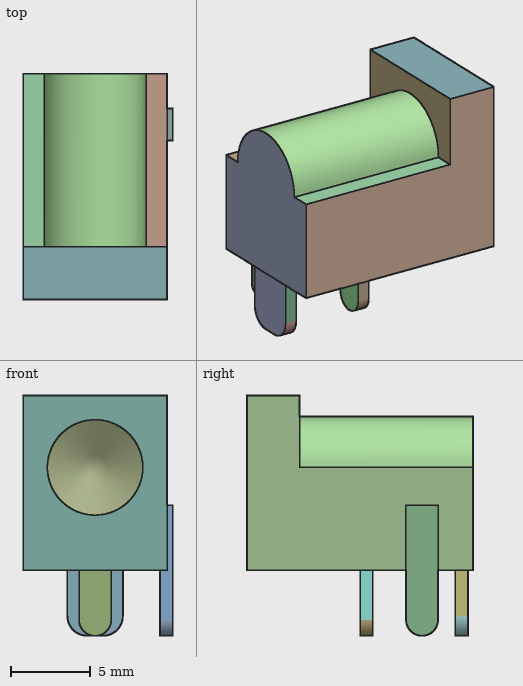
import cadquery as cq

body_width = 9.05
body_length = 14.2
body_height = 11.0
flange_length = 3.3

barrel_diameter = 6.4
socket_diameter = 6.0
axis_height = body_height - body_width / 2
socket_depth = 9.06
socket_cone_depth = 1.81

pin_length = 15.1 - body_height
pin_thickness = 0.82
narrow_pin_width = 2.02
narrow_pin_radius = narrow_pin_width / 2
wide_pin_width = 3.5
wide_pin_radius = 1.25
front_pin_y = 7.5
rear_pin_y = body_length - 0.71
side_pin_y = body_length - 3.2
side_pin_projection = 0.36
side_pin_top = 4.1


def make_housing():
    """Lower block, full-height front flange and the barrel lying on the block."""
    block = cq.Workplane("XY").box(
        body_width, body_length, axis_height, centered=(True, False, False)
    )
    flange = cq.Workplane("XY").box(
        body_width, flange_length, body_height, centered=(True, False, False)
    )
    barrel = (
        cq.Workplane("XZ")
        .center(0, axis_height)
        .circle(barrel_diameter / 2)
        .extrude(-body_length)
    )
    return block.union(flange).union(barrel)


def make_socket():
    """Blind round hole with a conical end, revolved about the barrel axis."""
    radius = socket_diameter / 2
    return (
        cq.Workplane("XY")
        .workplane(offset=axis_height)
        .moveTo(0, 0)
        .lineTo(radius, 0)
        .lineTo(radius, socket_depth)
        .lineTo(0, socket_depth + socket_cone_depth)
        .close()
        .revolve(360, (0, 0, 0), (0, 1, 0))
    )


def pin_plate(plane, width, tip_radius, top):
    """Upright plate centred on the plane, with rounded corners at its lower tip."""
    half_width = width / 2
    half_flat = half_width - tip_radius
    corner_height = tip_radius - pin_length
    diagonal = tip_radius * 0.5 ** 0.5
    outline = (
        cq.Workplane(plane)
        .moveTo(half_width, top)
        .lineTo(half_width, corner_height)
        .threePointArc((half_flat + diagonal, corner_height - diagonal), (half_flat, -pin_length))
    )
    if half_flat > 0:
        outline = outline.lineTo(-half_flat, -pin_length)
    return (
        outline.threePointArc(
            (-half_flat - diagonal, corner_height - diagonal), (-half_width, corner_height)
        )
        .lineTo(-half_width, top)
        .close()
        .extrude(pin_thickness / 2, both=True)
    )


front_pin = pin_plate("XZ", narrow_pin_width, narrow_pin_radius, 0).translate((0, front_pin_y, 0))
rear_pin = pin_plate("XZ", wide_pin_width, wide_pin_radius, 0).translate((0, rear_pin_y, 0))

side_pin_x = body_width / 2 + side_pin_projection - pin_thickness / 2
side_pin = pin_plate("YZ", narrow_pin_width, narrow_pin_radius, side_pin_top).translate(
    (side_pin_x, side_pin_y, 0)
)

result = make_housing().cut(make_socket()).union(front_pin).union(rear_pin).union(side_pin)